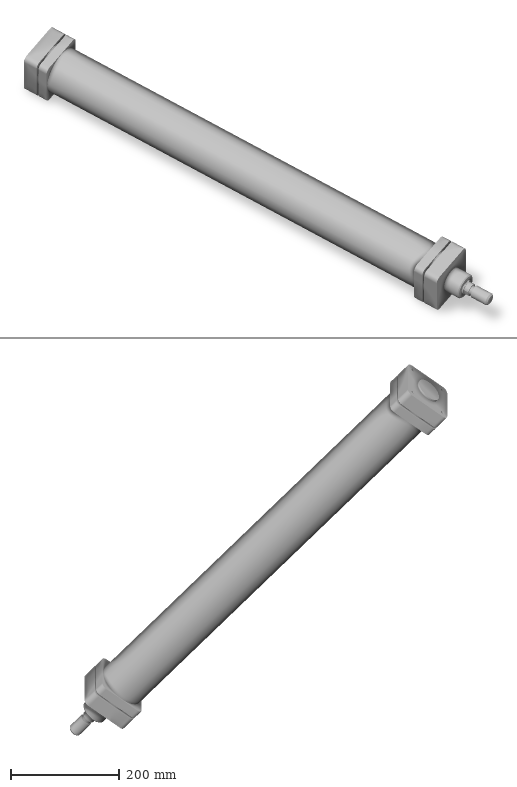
import cadquery as cq

OVERALL_LENGTH = 1016.0

PLATE_SIDE = 95.0
PLATE_CORNER_RADIUS = 10.0
CAP_THICKNESS = 28.0
FLANGE_THICKNESS = 18.0

BOSS_DIAMETER = 49.0
REAR_BOSS_LENGTH = 4.0
FRONT_BOSS_LENGTH = 33.0
FRONT_BOSS_CHAMFER = 2.0

SCREW_HOLE_DIAMETER = 6.0
SCREW_HOLE_SPACING = 71.0

TUBE_DIAMETER = 91.0
PLATE_GAP = 4.0

ROD_DIAMETER = 24.0
SHOULDER_DIAMETER = 28.0
SHOULDER_LENGTH = 3.0
WRENCH_LENGTH = 10.0
WRENCH_FLAT_DISTANCE = 22.0
UNDERCUT_DIAMETER = 19.0
UNDERCUT_LENGTH = 6.0
TIP_LENGTH = 36.0
TIP_CHAMFER = 3.0

REAR_CAP_X = REAR_BOSS_LENGTH
TUBE_REAR_X = REAR_CAP_X + CAP_THICKNESS
REAR_FLANGE_X = TUBE_REAR_X + PLATE_GAP
ROD_LENGTH = SHOULDER_LENGTH + WRENCH_LENGTH + UNDERCUT_LENGTH + TIP_LENGTH
ROD_X = OVERALL_LENGTH - ROD_LENGTH
FRONT_BOSS_X = ROD_X - FRONT_BOSS_LENGTH
FRONT_CAP_X = FRONT_BOSS_X - CAP_THICKNESS
FRONT_FLANGE_X = FRONT_CAP_X - PLATE_GAP - FLANGE_THICKNESS


def cross_section(x):
    """Workplane across the axis at x, with its local x pointing along Y."""
    return cq.Workplane(cq.Plane(origin=(x, 0, 0), xDir=(0, 1, 0), normal=(1, 0, 0)))


def cylinder(x, diameter, length):
    return cross_section(x).circle(diameter / 2).extrude(length)


def square_plate(x, thickness):
    plate = cross_section(x).rect(PLATE_SIDE, PLATE_SIDE).extrude(thickness)
    return plate.edges("|X").fillet(PLATE_CORNER_RADIUS)


def make_rear_cap():
    boss = cylinder(0, BOSS_DIAMETER, REAR_BOSS_LENGTH)
    screw_holes = (
        cross_section(REAR_CAP_X)
        .rect(SCREW_HOLE_SPACING, SCREW_HOLE_SPACING, forConstruction=True)
        .vertices()
        .circle(SCREW_HOLE_DIAMETER / 2)
        .extrude(CAP_THICKNESS)
    )
    return square_plate(REAR_CAP_X, CAP_THICKNESS).union(boss).cut(screw_holes)


def make_front_cap():
    boss = cylinder(FRONT_BOSS_X, BOSS_DIAMETER, FRONT_BOSS_LENGTH)
    boss = boss.faces(">X").chamfer(FRONT_BOSS_CHAMFER)
    return square_plate(FRONT_CAP_X, CAP_THICKNESS).union(boss)


def make_flange(x):
    bore = cylinder(x, TUBE_DIAMETER, FLANGE_THICKNESS)
    return square_plate(x, FLANGE_THICKNESS).cut(bore)


def make_tube():
    return cylinder(TUBE_REAR_X, TUBE_DIAMETER, FRONT_CAP_X - TUBE_REAR_X)


def make_rod():
    wrench_x = ROD_X + SHOULDER_LENGTH
    undercut_x = wrench_x + WRENCH_LENGTH
    tip_x = undercut_x + UNDERCUT_LENGTH

    shoulder_flats = cross_section(ROD_X).rect(SHOULDER_DIAMETER, ROD_DIAMETER).extrude(SHOULDER_LENGTH)
    shoulder = cylinder(ROD_X, SHOULDER_DIAMETER, SHOULDER_LENGTH).intersect(shoulder_flats)
    flats = cross_section(wrench_x).rect(WRENCH_FLAT_DISTANCE, ROD_DIAMETER).extrude(WRENCH_LENGTH)
    wrench_section = cylinder(wrench_x, ROD_DIAMETER, WRENCH_LENGTH).intersect(flats)
    undercut = cylinder(undercut_x, UNDERCUT_DIAMETER, UNDERCUT_LENGTH)
    tip = cylinder(tip_x, ROD_DIAMETER, TIP_LENGTH).faces(">X").chamfer(TIP_CHAMFER)
    return shoulder.union(wrench_section).union(undercut).union(tip)


rear_cap = make_rear_cap()
tube = make_tube()
flanges = [make_flange(x) for x in (REAR_FLANGE_X, FRONT_FLANGE_X)]
front_cap = make_front_cap()
rod = make_rod()

result = cq.Compound.makeCompound(
    [rear_cap.val(), tube.val(), *[flange.val() for flange in flanges], front_cap.val(), rod.val()]
)